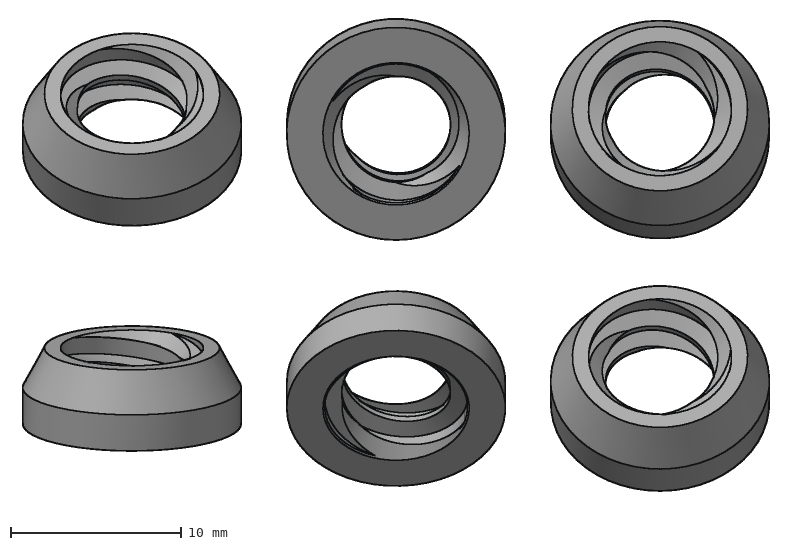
import cadquery as cq

outer_diameter = 12.86
top_diameter = 10.3
height = 4.6
base_height = 2.2

major_diameter = 8.4
minor_diameter = 6.4
starts = 2
pitch = 2.0
lead = starts * pitch
crest_width = 0.4
root_width = pitch / 2
first_start_angle = 45.0

major_radius = major_diameter / 2
minor_radius = minor_diameter / 2
thread_depth = major_radius - minor_radius

top_mouth_radius = major_radius
bottom_mouth_radius = 4.3

embed = 0.3
overrun = pitch


def revolve_profile(points):
    """Turn a closed (radius, z) outline about the Z axis."""
    return cq.Workplane("XZ").polyline(points).close().revolve(360, (0, 0, 0), (0, 1, 0))


def make_body():
    """Ring with a plain bore at the major diameter."""
    return revolve_profile([
        (major_radius, 0),
        (outer_diameter / 2, 0),
        (outer_diameter / 2, base_height),
        (top_diameter / 2, height),
        (major_radius, height),
    ])


def make_trim():
    """Space the ridges may fill: level with both faces and tapered at the top mouth."""
    outer_radius = major_radius + 2 * embed
    inner_radius = minor_radius - embed
    top_rise = top_mouth_radius - inner_radius
    return revolve_profile([
        (inner_radius, 0),
        (outer_radius, 0),
        (outer_radius, height),
        (top_mouth_radius, height),
        (inner_radius, height - top_rise),
    ])


def make_countersink():
    """Full cone that opens the bottom mouth."""
    return revolve_profile([
        (0, 0),
        (bottom_mouth_radius, 0),
        (0, bottom_mouth_radius),
    ])


def make_ridge():
    """One helical ridge of trapezoidal section, running past both faces."""
    start_z = -overrun
    helix_height = height + 2 * overrun
    buried_radius = major_radius + embed
    flank_slope = (root_width - crest_width) / 2 / thread_depth
    half_root = root_width / 2
    half_crest = crest_width / 2
    half_buried = half_root + flank_slope * embed
    helix = cq.Wire.makeHelix(lead, helix_height, major_radius, center=cq.Vector(0, 0, start_z))
    ridge = (
        cq.Workplane("XZ")
        .moveTo(minor_radius, start_z - half_crest)
        .lineTo(buried_radius, start_z - half_buried)
        .lineTo(buried_radius, start_z + half_buried)
        .lineTo(minor_radius, start_z + half_crest)
        .close()
        .sweep(cq.Workplane(helix), isFrenet=True)
    )
    rise_to_top = height - half_root - start_z
    turn = first_start_angle - 360 * rise_to_top / lead
    return ridge.rotate((0, 0, 0), (0, 0, 1), turn)


result = make_body()
trimmed_ridge = make_ridge().intersect(make_trim())
for start in range(starts):
    result = result.union(trimmed_ridge.rotate((0, 0, 0), (0, 0, 1), start * 360 / starts))
result = result.cut(make_countersink())